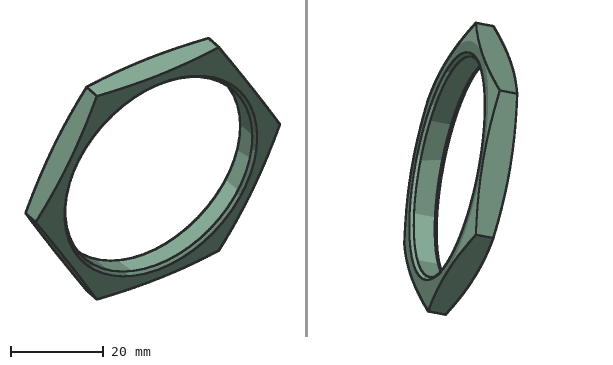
import cadquery as cq
import math

across_corners = 63.5
across_flats = across_corners * math.cos(math.radians(30))
thickness = 6.3
bore_diameter = 48.6
bore_chamfer = 0.75
corner_chamfer_angle = 15.0

corner_radius = across_corners / 2
flat_radius = across_flats / 2
half_thickness = thickness / 2


def hexagon_blank():
    """Hexagonal prism centred on the origin."""
    return (
        cq.Workplane("YZ")
        .polygon(6, across_corners)
        .extrude(half_thickness, both=True)
    )


def corner_chamfer_envelope():
    """Disc with conical faces that start at the inscribed circle and trim the hexagon corners."""
    overhang = 0.65
    rim_radius = corner_radius + overhang
    slope = math.tan(math.radians(corner_chamfer_angle))
    rim_half_width = half_thickness - (rim_radius - flat_radius) * slope
    half_profile = [
        (-half_thickness, 0),
        (-half_thickness, flat_radius),
        (-rim_half_width, rim_radius),
        (rim_half_width, rim_radius),
        (half_thickness, flat_radius),
        (half_thickness, 0),
    ]
    return (
        cq.Workplane("XY")
        .polyline(half_profile)
        .close()
        .revolve(360, (0, 0, 0), (1, 0, 0))
    )


def chamfered_bore():
    """Through bore, widened by a 45 degree chamfer at both faces."""
    bore_radius = bore_diameter / 2
    mouth_radius = bore_radius + bore_chamfer
    straight_half_length = half_thickness - bore_chamfer
    half_profile = [
        (-half_thickness, 0),
        (-half_thickness, mouth_radius),
        (-straight_half_length, bore_radius),
        (straight_half_length, bore_radius),
        (half_thickness, mouth_radius),
        (half_thickness, 0),
    ]
    return (
        cq.Workplane("XY")
        .polyline(half_profile)
        .close()
        .revolve(360, (0, 0, 0), (1, 0, 0))
    )


result = hexagon_blank().intersect(corner_chamfer_envelope()).cut(chamfered_bore())